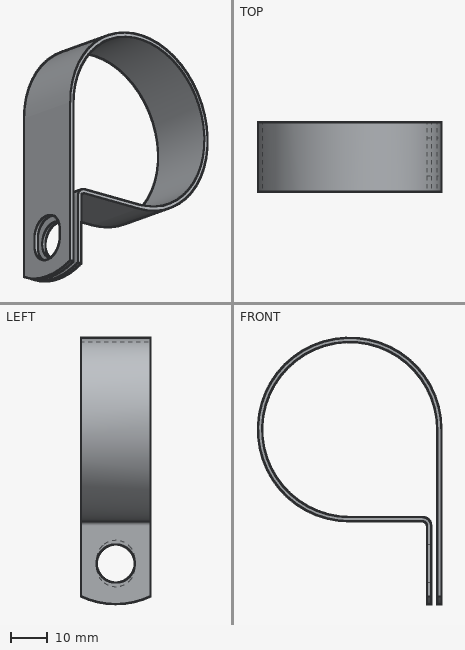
import cadquery as cq
import math

strip_width = 19.05
thickness = 1.2192
loop_inner_radius = 23.8125
loop_outer_radius = loop_inner_radius + thickness

leg_bottom_z = -47.6
leg_gap = 1.5875
bend_inner_radius = thickness
bend_outer_radius = bend_inner_radius + thickness
bent_leg_outer_x = loop_inner_radius - leg_gap
bent_leg_inner_x = bent_leg_outer_x - thickness
bend_center_x = bent_leg_outer_x - bend_outer_radius
bend_center_z = -loop_inner_radius - bend_outer_radius

hole_diameter = 10.32
slot_length = 12.7
hole_height_above_end = 11.1
end_radius = 22.225


def arc_point(center_x, center_z, radius, angle_degrees):
    """Point on a circle in the XZ plane, measured from +X toward +Z."""
    angle = math.radians(angle_degrees)
    return (center_x + radius * math.cos(angle), center_z + radius * math.sin(angle))


def make_strip():
    """Bent strip: straight leg, three-quarter loop, flat shelf and bent leg."""
    return (
        cq.Workplane("XZ")
        .moveTo(loop_outer_radius, leg_bottom_z)
        .lineTo(loop_outer_radius, 0)
        .threePointArc(arc_point(0, 0, loop_outer_radius, 135), (0, -loop_outer_radius))
        .lineTo(bend_center_x, -loop_outer_radius)
        .threePointArc(
            arc_point(bend_center_x, bend_center_z, bend_inner_radius, 45),
            (bent_leg_inner_x, bend_center_z),
        )
        .lineTo(bent_leg_inner_x, leg_bottom_z)
        .lineTo(bent_leg_outer_x, leg_bottom_z)
        .lineTo(bent_leg_outer_x, bend_center_z)
        .threePointArc(
            arc_point(bend_center_x, bend_center_z, bend_outer_radius, 45),
            (bend_center_x, -loop_inner_radius),
        )
        .lineTo(0, -loop_inner_radius)
        .threePointArc(arc_point(0, 0, loop_inner_radius, 135), (loop_inner_radius, 0))
        .lineTo(loop_inner_radius, leg_bottom_z)
        .close()
        .extrude(strip_width / 2, both=True)
    )


def opening_plane(leg_inner_x):
    """YZ plane on a leg's -X face, centred on the mounting axis."""
    return cq.Workplane("YZ", origin=(leg_inner_x, 0, leg_bottom_z + hole_height_above_end))


def make_hole_cutter():
    """Round hole through the bent leg."""
    return opening_plane(bent_leg_inner_x).circle(hole_diameter / 2).extrude(thickness)


def make_slot_cutter():
    """Slot through the straight leg, as wide as the hole and elongated along Z."""
    return (
        opening_plane(loop_inner_radius)
        .slot2D(slot_length, hole_diameter, angle=90)
        .extrude(thickness)
    )


def make_end_cutter():
    """Material below the arc that rounds the lower end of both legs."""
    half_width = strip_width / 2
    arc_rise = end_radius - math.sqrt(end_radius**2 - half_width**2)
    corner_z = leg_bottom_z + arc_rise
    below_z = leg_bottom_z - arc_rise
    return (
        cq.Workplane("YZ")
        .moveTo(-half_width, corner_z)
        .threePointArc((0, leg_bottom_z), (half_width, corner_z))
        .lineTo(half_width, below_z)
        .lineTo(-half_width, below_z)
        .close()
        .extrude(loop_outer_radius)
    )


result = (
    make_strip()
    .cut(make_hole_cutter())
    .cut(make_slot_cutter())
    .cut(make_end_cutter())
)